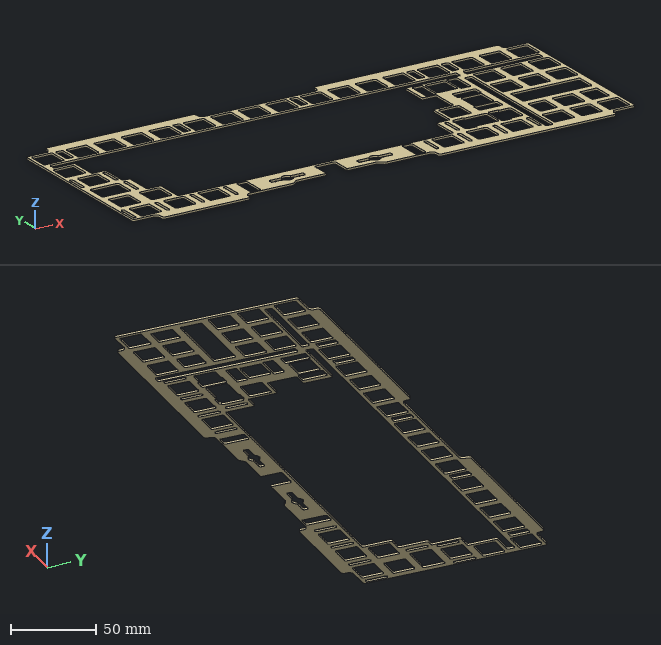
import math

import cadquery as cq

UNIT = 19.05
THICKNESS = 1.5
COLUMNS = 18.25
ROWS = 6.25
BODY_WIDTH = COLUMNS * UNIT
BODY_HEIGHT = ROWS * UNIT
TOTAL_HEIGHT = 131.34
BODY_RADIUS = 1.5
TAB_RADIUS = 2.0
ROOT_RADIUS = 2.75
ARC_SAGITTA = 1 - math.sqrt(0.5)

GAP = 0.25
SEPARATOR_LEFT = 15.0
SEPARATOR_RIGHT = SEPARATOR_LEFT + GAP
MAIN_TOP = 1 + GAP
PAD_LEFT = SEPARATOR_RIGHT + GAP
PAD_RIGHT = COLUMNS - GAP
PAD_COLUMNS = [15.75, 16.75, 17.75]
SEPARATOR_TOP = 1.5

FUNCTION_ROW = 0.5
NUMBER_ROW = 1.75
TAB_ROW = 2.75
HOME_ROW = 3.75
SHIFT_ROW = 4.75
BOTTOM_ROW = 5.75

SWITCH = 14.0
CORNER_RADIUS = 0.75
RELIEF_WIDTH = 2.0
RELIEF_OFFSET = 11.6
STAB_WIDTH = 6.75
STAB_LENGTH = 16.0
STAB_OFFSET = 11.94
STAB_DROP = 0.25
SPACE_STAB_OFFSET = 3 * UNIT
FUNCTION_SLOT_LENGTH = 12.5

SPACE_CENTER = 7.5
NOTCH_DEPTH = 3.1
NOTCH_HALF_WIDTH = 29.9
NOTCH_RADIUS = 3.0
KEYHOLE_OFFSET = 30.3
KEYHOLE_LENGTH = 23.4
KEYHOLE_WIDTH = 3.3
KEYHOLE_DIAMETER = 7.0
KEYHOLE_RADIUS = 1.0

TAB_START = 16.8
TAB_END = BODY_WIDTH - TAB_START
UPPER_LEFT_END = 120.9
UPPER_RIGHT_START = 202.6
LOWER_LEFT_END = 77.9
LOWER_RIGHT_START = 207.9
UPPER_TABS = [(TAB_START, UPPER_LEFT_END), (UPPER_RIGHT_START, TAB_END)]
LOWER_TABS = [(TAB_START, LOWER_LEFT_END), (LOWER_RIGHT_START, TAB_END)]


def plate_x(units):
    """Horizontal position in millimetres of a layout position."""
    return units * UNIT - BODY_WIDTH / 2


def plate_y(units):
    """Vertical position in millimetres of a layout position."""
    return BODY_HEIGHT / 2 - units * UNIT


def block(x, y, width, height, radius=CORNER_RADIUS):
    """Plate-thick rounded block centred at x, y in millimetres."""
    solid = cq.Workplane("XY").center(x, y).rect(width, height).extrude(THICKNESS)
    return solid.edges("|Z").fillet(radius)


def span(left, right, top, bottom):
    """Rounded block between limits given in key units."""
    x = (plate_x(left) + plate_x(right)) / 2
    y = (plate_y(top) + plate_y(bottom)) / 2
    return block(x, y, (right - left) * UNIT, (bottom - top) * UNIT)


def switch(column, row):
    """Square switch opening at a key centre."""
    return block(plate_x(column), plate_y(row), SWITCH, SWITCH)


def reliefs(column, row):
    """Narrow slots on both sides of a switch."""
    x = plate_x(column)
    y = plate_y(row)
    left = block(x - RELIEF_OFFSET, y, RELIEF_WIDTH, SWITCH)
    right = block(x + RELIEF_OFFSET, y, RELIEF_WIDTH, SWITCH)
    return [left, right]


def stabilizers(column, row, offset=STAB_OFFSET):
    """Stabilizer openings on both sides of a wide key."""
    x = plate_x(column)
    y = plate_y(row) - STAB_DROP
    left = block(x - offset, y, STAB_WIDTH, STAB_LENGTH)
    right = block(x + offset, y, STAB_WIDTH, STAB_LENGTH)
    return [left, right]


def tab(left, right, side):
    """Edge tab with rounded tips and flared roots; side is +1 (upper) or -1 (lower)."""
    x0 = left - BODY_WIDTH / 2
    x1 = right - BODY_WIDTH / 2
    root = side * BODY_HEIGHT / 2
    tip = side * TOTAL_HEIGHT / 2
    flare = side * ROOT_RADIUS
    round_off = side * TAB_RADIUS
    root_mid = ROOT_RADIUS * ARC_SAGITTA
    tip_mid = TAB_RADIUS * ARC_SAGITTA
    return (
        cq.Workplane("XY")
        .moveTo(x0 - ROOT_RADIUS, root)
        .threePointArc((x0 - root_mid, root + side * root_mid), (x0, root + flare))
        .lineTo(x0, tip - round_off)
        .threePointArc((x0 + tip_mid, tip - side * tip_mid), (x0 + TAB_RADIUS, tip))
        .lineTo(x1 - TAB_RADIUS, tip)
        .threePointArc((x1 - tip_mid, tip - side * tip_mid), (x1, tip - round_off))
        .lineTo(x1, root + flare)
        .threePointArc((x1 + root_mid, root + side * root_mid), (x1 + ROOT_RADIUS, root))
        .lineTo(x1 + ROOT_RADIUS, root - flare)
        .lineTo(x0 - ROOT_RADIUS, root - flare)
        .close()
        .extrude(THICKNESS)
    )


def blank():
    """Plate body with its edge tabs, without openings."""
    body = block(0, 0, BODY_WIDTH, BODY_HEIGHT, BODY_RADIUS)
    for left, right in UPPER_TABS:
        body = body.union(tab(left, right, 1))
    for left, right in LOWER_TABS:
        body = body.union(tab(left, right, -1))
    return body


def main_window():
    """Large stepped window left by the staggered alphanumeric rows."""
    left_steps = [1.0, 1.5, 1.75, 2.25]
    right_steps = [13.0, 13.5, 12.75, 12.25]
    corners = [(GAP, MAIN_TOP), (GAP, 1), (SEPARATOR_LEFT, 1), (SEPARATOR_LEFT, MAIN_TOP)]
    for row, x in enumerate(right_steps):
        corners += [(x, MAIN_TOP + row), (x, MAIN_TOP + row + 1)]
    for row, x in reversed(list(enumerate(left_steps))):
        corners += [(x, MAIN_TOP + row + 1), (x, MAIN_TOP + row)]
    points = [(plate_x(x), plate_y(y)) for x, y in corners]
    solid = cq.Workplane("XY").polyline(points).close().extrude(THICKNESS)
    return solid.edges("|Z").fillet(CORNER_RADIUS)


def function_row():
    """Main cluster function keys and the slots in the gaps between their groups."""
    columns = [0.5, 1.75, 2.75, 3.75, 4.75, 6, 7, 8, 9, 10.25, 11.25, 12.25, 13.25, 14.5]
    slot_columns = [1.125, 5.375, 9.625, 13.875, 15.125]
    openings = [switch(column, FUNCTION_ROW) for column in columns]
    slot_y = plate_y(FUNCTION_ROW) + (SWITCH - FUNCTION_SLOT_LENGTH) / 2
    for column in slot_columns:
        openings.append(block(plate_x(column), slot_y, GAP * UNIT, FUNCTION_SLOT_LENGTH))
    return openings


def left_keys():
    """Keys at the left end of the number, tab, home and shift rows."""
    number_key = 0.5
    tab_key = 0.75
    caps_lock = 0.875
    short_shift = 0.625
    extra_key = 1.75
    openings = [switch(number_key, NUMBER_ROW), switch(tab_key, TAB_ROW)]
    openings += reliefs(tab_key, TAB_ROW)
    openings += [switch(caps_lock, HOME_ROW), switch(caps_lock - GAP, HOME_ROW)]
    openings += reliefs(caps_lock, HOME_ROW)
    openings += [switch(short_shift, SHIFT_ROW), switch(extra_key, SHIFT_ROW)]
    return openings


def right_keys():
    """Backspace, home row end key, and the shift key in a short or a long version."""
    backspace = 14.0
    home_end = 13.25
    short_shift = 13.125
    long_shift = 13.625
    shift_end = 14.5
    openings = [switch(backspace, NUMBER_ROW), switch(home_end, HOME_ROW)]
    openings += stabilizers(backspace, NUMBER_ROW)
    openings += [switch(short_shift, SHIFT_ROW), switch(long_shift, SHIFT_ROW)]
    openings += reliefs(short_shift, SHIFT_ROW)
    openings += stabilizers(long_shift, SHIFT_ROW)
    openings.append(switch(shift_end, SHIFT_ROW))
    return openings


def enter_key():
    """Tall enter key with its stabilizers above and below."""
    column = 14.375
    row = (TAB_ROW + HOME_ROW) / 2
    openings = [switch(column, row)]
    for side in (-1, 1):
        y = plate_y(row) + side * STAB_OFFSET
        openings.append(block(plate_x(column), y, STAB_LENGTH, STAB_WIDTH))
    return openings


def bottom_row():
    """Modifier keys and the space bar stabilizers."""
    wide_keys = [0.75, 3.25, 11.75, 14.25]
    single_keys = [2.0, 13.0]
    openings = [switch(column, BOTTOM_ROW) for column in wide_keys + single_keys]
    for column in wide_keys:
        openings += reliefs(column, BOTTOM_ROW)
    openings += stabilizers(SPACE_CENTER, BOTTOM_ROW, SPACE_STAB_OFFSET)
    return openings


def number_pad():
    """Three key columns on the right, with a joined opening in the home row."""
    openings = []
    for column in PAD_COLUMNS:
        for row in [FUNCTION_ROW, NUMBER_ROW, TAB_ROW, BOTTOM_ROW]:
            openings.append(switch(column, row))
    half = SWITCH / UNIT / 2
    openings.append(span(PAD_LEFT, PAD_RIGHT, HOME_ROW - half, HOME_ROW + half))
    left, middle, right = PAD_COLUMNS
    top = SHIFT_ROW - half
    bottom = SHIFT_ROW + half
    openings.append(span(PAD_LEFT, left + half, top, bottom))
    openings.append(switch(middle, SHIFT_ROW))
    openings.append(span(right - half, PAD_RIGHT, top, bottom))
    return openings


def separators():
    """Slot right of the main cluster and slot above the number pad."""
    upright = span(SEPARATOR_LEFT, SEPARATOR_RIGHT, SEPARATOR_TOP, ROWS)
    level = span(SEPARATOR_RIGHT, PAD_RIGHT, 1, MAIN_TOP)
    return [upright, level]


def space_bar_notch():
    """Shallow S-sided recess in the lower edge, open to the space bar switch."""
    x = plate_x(SPACE_CENTER)
    edge = -BODY_HEIGHT / 2
    ceiling = edge + NOTCH_DEPTH
    inner = NOTCH_HALF_WIDTH - NOTCH_RADIUS
    outer = NOTCH_HALF_WIDTH + NOTCH_RADIUS
    recess = (
        cq.Workplane("XY")
        .moveTo(x - outer, edge)
        .spline([(x - inner, ceiling)], tangents=[(1, 0), (1, 0)], includeCurrent=True)
        .lineTo(x + inner, ceiling)
        .spline([(x + outer, edge)], tangents=[(1, 0), (1, 0)], includeCurrent=True)
        .close()
        .extrude(THICKNESS)
    )
    return [recess, switch(SPACE_CENTER, BOTTOM_ROW)]


def keyholes():
    """Slots with a round centre on both sides of the space bar switch."""
    openings = []
    for side in (-1, 1):
        x = plate_x(SPACE_CENTER) + side * KEYHOLE_OFFSET
        y = plate_y(BOTTOM_ROW)
        openings.append(block(x, y, KEYHOLE_LENGTH, KEYHOLE_WIDTH, KEYHOLE_RADIUS))
        bore = cq.Workplane("XY").center(x, y).circle(KEYHOLE_DIAMETER / 2)
        openings.append(bore.extrude(THICKNESS))
    return openings


openings = [main_window()] + function_row() + left_keys() + right_keys() + enter_key()
openings += bottom_row() + number_pad() + separators() + space_bar_notch() + keyholes()

cutters = [opening.val() for opening in openings]
result = cq.Workplane("XY").newObject([blank().val().cut(*cutters)]).solids()